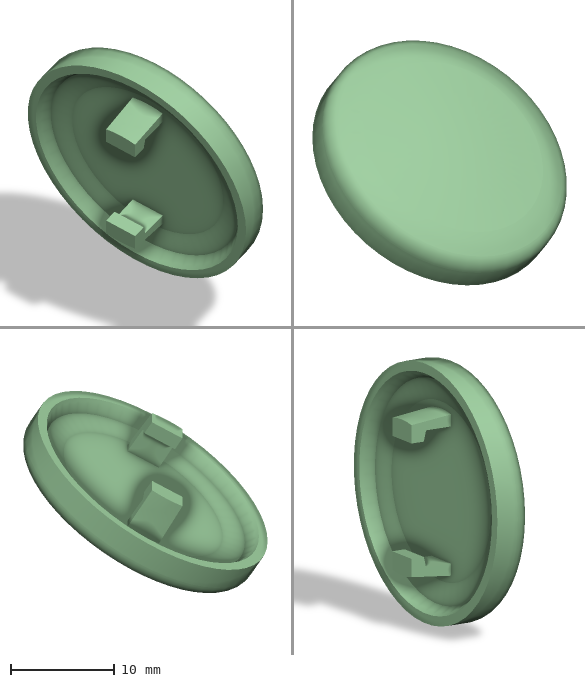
import cadquery as cq
import math

outer_radius = 13.0

wall_height = 2.35
edge_round_radius = 1.5
edge_round_end_angle = math.radians(20)
dome_edge_radius = 9.62
dome_edge_height = 4.4
dome_height = 5.1

recess_mouth_radius = 12.0
recess_lip_radius = 11.2
recess_floor_radius = 9.0
recess_lip_depth = 1.3
recess_floor_depth = 1.8

clip_reach = 2.7
clip_base_width = 3.55
clip_tip_width = 3.43
clip_base_radius = 8.27
clip_tip_radius = 7.8
clip_inner_radius = 6.86
hook_inner_radius = 5.77
hook_root_reach = 1.05
hook_edge_reach = 1.3
root_overlap = 0.25


def revolve_about_y(profile):
    return profile.close().revolve(360, (0, 0, 0), (0, 1, 0))


def make_skin():
    """Solid domed disc; profile points are (radius, Y)."""
    round_centre_radius = outer_radius - edge_round_radius

    def on_edge_round(angle):
        return (
            round_centre_radius + edge_round_radius * math.sin(angle),
            wall_height + edge_round_radius * math.cos(angle),
        )

    dome_sag = dome_height - dome_edge_height
    dome_radius = (dome_edge_radius**2 + dome_sag**2) / (2 * dome_sag)
    dome_mid_radius = dome_edge_radius / 2
    dome_mid_height = dome_height - dome_radius + math.sqrt(dome_radius**2 - dome_mid_radius**2)
    round_mid_angle = (edge_round_end_angle + math.pi / 2) / 2

    return revolve_about_y(
        cq.Workplane("XY")
        .lineTo(0, dome_height)
        .threePointArc((dome_mid_radius, dome_mid_height), (dome_edge_radius, dome_edge_height))
        .tangentArcPoint(on_edge_round(edge_round_end_angle), relative=False)
        .threePointArc(on_edge_round(round_mid_angle), (outer_radius, wall_height))
        .lineTo(outer_radius, 0)
    )


def make_recess():
    return revolve_about_y(
        cq.Workplane("XY")
        .lineTo(recess_mouth_radius, 0)
        .lineTo(recess_lip_radius, recess_lip_depth)
        .lineTo(recess_floor_radius, recess_floor_depth)
        .lineTo(0, recess_floor_depth)
    )


def make_clips():
    """Two opposite hooked clips: a hooked ring profile trimmed to a tapered width."""
    root = recess_floor_depth + root_overlap
    hooked_ring = revolve_about_y(
        cq.Workplane("XY")
        .moveTo(0, recess_floor_depth)
        .lineTo(0, root)
        .lineTo(clip_base_radius, root)
        .lineTo(clip_base_radius, recess_floor_depth)
        .lineTo(clip_tip_radius, -clip_reach)
        .lineTo(0, -clip_reach)
    )
    clips = cq.Workplane("XY")
    for side in (1, -1):
        hook_outline = (
            cq.Workplane("YZ")
            .polyline([
                (root, side * clip_inner_radius),
                (-hook_root_reach, side * clip_inner_radius),
                (-hook_edge_reach, side * hook_inner_radius),
                (-clip_reach, side * hook_inner_radius),
                (-clip_reach, side * outer_radius),
                (root, side * outer_radius),
            ])
            .close()
            .extrude(clip_base_width, both=True)
        )
        clips = clips.add(hook_outline.intersect(hooked_ring))
    width_trim = (
        cq.Workplane("XY")
        .polyline([
            (-clip_base_width / 2, root),
            (-clip_base_width / 2, recess_floor_depth),
            (-clip_tip_width / 2, -clip_reach),
            (clip_tip_width / 2, -clip_reach),
            (clip_base_width / 2, recess_floor_depth),
            (clip_base_width / 2, root),
        ])
        .close()
        .extrude(outer_radius, both=True)
    )
    return clips.combine().intersect(width_trim)


result = make_skin().cut(make_recess()).union(make_clips())